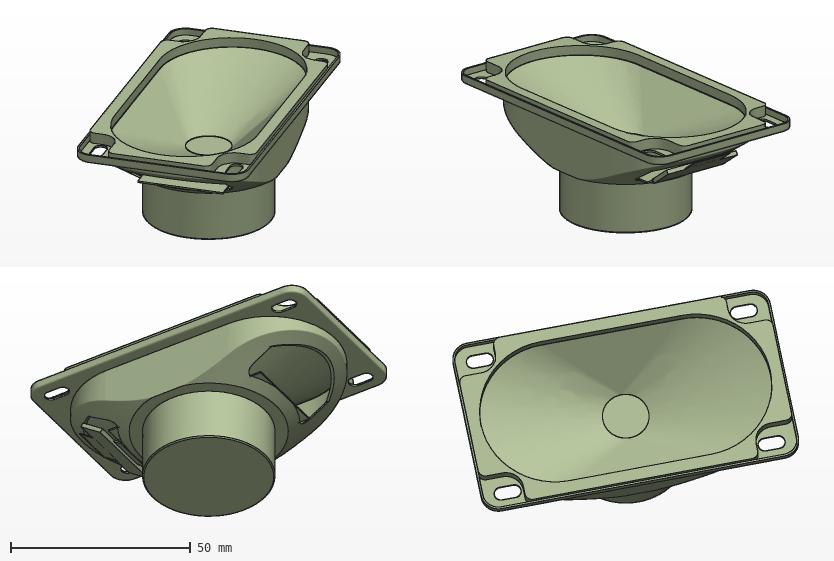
import cadquery as cq
import math

total_height = 35.4
basket_bottom = 16.0
flange_bottom = 31.7
rim_top = 34.1
sheet = 0.5

flange_width = 50.1
flange_length = 90.2
corner_radius = 4.9
tray_floor_top = flange_bottom + sheet

slot_x = 19.9
slot_y = 37.5
slot_width = 3.8
slot_length = 7.6
relief_x = 15.15
relief_y = 33.1
relief_inner_radius = 5.0
relief_outer_radius = 2.0

basket_width = 43.1
straight_length = 40.2
opening_width = basket_width - 2 * sheet
cone_bottom_radius = 22.2
cone_run = 1.46
trim_edge_radius = 0.4

window_half_width = 15.0
window_sill = 18.2
window_side_top = 23.9
window_crown = 27.15
window_corner_radius = 2.35

magnet_diameter = 37
magnet_chamfer = 0.4

plate_width = 25.1
plate_length = 50.15
plate_thickness = 0.45

coil_diameter = 13.0
dome_top = 20.6
funnel_rim = 32.6
diaphragm_thickness = 0.2

terminal_y = plate_length / 2
terminal_z = window_sill + plate_thickness / 2
terminal_tilt = 36
foot_length = 2.6
foot_embed = 0.45
board_width = 24.9
board_length = 7.9
board_thickness = 1.3
lead_length = 5.2
strip_width = 12.6
foot_thickness = 0.45
lead_thickness = 0.3
overlap = 0.9


def stadium(width, z, height):
    """Upright stadium block with its long axis along Y."""
    return (
        cq.Workplane("XY", origin=(0, 0, z))
        .slot2D(straight_length + width, width, 90)
        .extrude(height)
    )


def box(width, length, z, height):
    """Upright rectangular block centred on the Z axis."""
    return (
        cq.Workplane("XY", origin=(0, 0, z))
        .rect(width, length)
        .extrude(height)
    )


def make_tray():
    """Shallow flange tray with a raised rim and four mounting slots."""
    tray = box(flange_width, flange_length, flange_bottom, rim_top - flange_bottom)
    tray = tray.edges("|Z").fillet(corner_radius)
    tray = tray.faces("<Z").edges().fillet(sheet)
    recess = box(
        flange_width - 2 * sheet, flange_length - 2 * sheet,
        tray_floor_top, rim_top - tray_floor_top,
    )
    recess = recess.edges("|Z").fillet(corner_radius - sheet)
    slots = (
        cq.Workplane("XY", origin=(0, 0, flange_bottom))
        .rect(2 * slot_x, 2 * slot_y, forConstruction=True)
        .vertices()
        .slot2D(slot_length, slot_width, 90)
        .extrude(sheet)
    )
    return tray.cut(recess).cut(slots)


def make_gasket():
    """Rectangle with its four corners notched out around the mounting slots."""
    height = total_height - tray_floor_top
    width = flange_width - 2 * sheet
    length = flange_length - 2 * sheet
    upright = box(2 * relief_x, length, tray_floor_top, height)
    across = box(width, 2 * relief_y, tray_floor_top, height)
    gasket = upright.union(across)
    inner_corners = cq.selectors.BoxSelector(
        (-relief_x - overlap, -relief_y - overlap, 0),
        (relief_x + overlap, relief_y + overlap, total_height),
    )
    gasket = gasket.edges("|Z").edges(inner_corners).fillet(relief_inner_radius)
    for side in ("<X", ">X", "<Y", ">Y"):
        gasket = gasket.faces(side).edges("|Z").fillet(relief_outer_radius)
    return gasket


def trimming_cone(z):
    """Cone that opens upward from the basket bottom radius at height z."""
    height = total_height - z
    top_radius = cone_bottom_radius + cone_run * height
    return (
        cq.Workplane("XZ")
        .polyline([(0, z), (cone_bottom_radius, z), (top_radius, total_height), (0, total_height)])
        .close()
        .revolve(360, (0, 0, 0), (0, 1, 0))
    )


def make_window():
    """Arched opening that runs along Y through both ends of the basket."""
    window = (
        cq.Workplane("XZ", origin=(0, flange_length / 2, 0))
        .moveTo(-window_half_width, window_side_top)
        .lineTo(-window_half_width, window_sill)
        .lineTo(window_half_width, window_sill)
        .lineTo(window_half_width, window_side_top)
        .threePointArc((0, window_crown), (-window_half_width, window_side_top))
        .close()
        .extrude(flange_length)
    )
    return window.faces("<Z").edges("|Y").fillet(window_corner_radius)


def make_basket():
    """Thin-walled basket, open at the top and pierced by the end windows."""
    height = flange_bottom - basket_bottom + sheet
    outer = stadium(basket_width, basket_bottom, height).intersect(trimming_cone(basket_bottom))
    between_ends = cq.selectors.BoxSelector(
        (-flange_width, -flange_length, basket_bottom + sheet),
        (flange_width, flange_length, flange_bottom),
    )
    outer = outer.edges(between_ends).edges("not(|Z)").fillet(trim_edge_radius)
    cone_lift = sheet * math.hypot(1, 1 / cone_run)
    inner = stadium(opening_width, basket_bottom + sheet, height)
    inner = inner.intersect(trimming_cone(basket_bottom + cone_lift))
    return outer.cut(inner).cut(make_window())


def funnel(rim_width, bottom):
    """Solid hull of a stadium at the funnel rim and the coil circle at the bottom.

    Each end is a slanted cone; the wedge between them has a triangle on each long side.
    """
    half_width = rim_width / 2
    half_straight = straight_length / 2
    coil_radius = coil_diameter / 2
    end = (
        cq.Workplane("XY", origin=(0, 0, bottom))
        .moveTo(coil_radius, 0)
        .threePointArc((0, coil_radius), (-coil_radius, 0))
        .close()
        .workplane(offset=funnel_rim - bottom)
        .moveTo(half_width, half_straight)
        .threePointArc((0, half_straight + half_width), (-half_width, half_straight))
        .close()
        .loft(ruled=True)
    )
    across = (
        cq.Workplane("XZ")
        .polyline([
            (-coil_radius, bottom), (coil_radius, bottom),
            (half_width, funnel_rim), (-half_width, funnel_rim),
        ])
        .close()
        .extrude(half_straight, both=True)
    )
    along = (
        cq.Workplane("YZ")
        .polyline([(0, bottom), (half_straight, funnel_rim), (-half_straight, funnel_rim)])
        .close()
        .extrude(half_width, both=True)
    )
    return across.intersect(along).union(end).union(end.mirror("XZ"))


def make_diaphragm():
    """Thin funnel skin on a solid voice coil that stands on the magnet."""
    skin = funnel(opening_width + sheet, dome_top - diaphragm_thickness)
    skin = skin.cut(funnel(opening_width, dome_top))
    coil = (
        cq.Workplane("XY", origin=(0, 0, basket_bottom))
        .circle(coil_diameter / 2)
        .extrude(dome_top - basket_bottom)
    )
    return skin.union(coil)


def terminal_layer(width, start, length, bottom, thickness):
    """Flat rectangular layer of the terminal strip, running along +Y from start."""
    return (
        cq.Workplane("XY", origin=(0, start, bottom))
        .box(width, length, thickness, centered=(True, False, False))
    )


def make_terminals():
    """Foot, board and solder lead, laid flat along +Y and then tilted up from the plate."""
    foot_total = foot_embed + foot_length + overlap
    foot = terminal_layer(strip_width, -foot_embed, foot_total, -foot_thickness, foot_thickness)
    board = terminal_layer(board_width, foot_length, board_length, -board_thickness, board_thickness)
    lead_start = foot_length + board_length - overlap
    lead = terminal_layer(strip_width, lead_start, lead_length + overlap, -board_thickness, lead_thickness)
    flat = foot.union(board).union(lead)
    return flat.rotate((0, 0, 0), (1, 0, 0), terminal_tilt).translate((0, terminal_y, terminal_z))


magnet = cq.Workplane("XY").circle(magnet_diameter / 2).extrude(basket_bottom)
magnet = magnet.faces("<Z").chamfer(magnet_chamfer)

plate = box(plate_width, plate_length, window_sill, plate_thickness)

frame = make_tray().union(make_gasket())
frame = frame.cut(stadium(opening_width, flange_bottom, total_height - flange_bottom))

result = frame
for part in (make_basket(), magnet, plate, make_diaphragm(), make_terminals()):
    result = result.union(part)